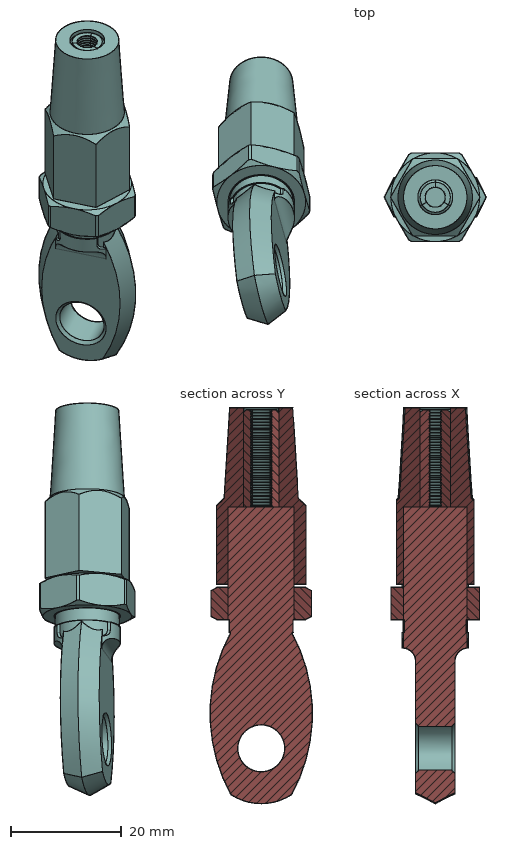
import cadquery as cq
import math


BLADE_WIDTH = 18.5
BLADE_HALF_WIDTH = BLADE_WIDTH / 2
BLADE_HALF_THICKNESS = 3.6
BLADE_BEVEL = 1.8
BLADE_SIDE_RADIUS = 30.4
BLADE_MID_Z = 16.3
BLADE_END_Z = 1.65
PIN_HOLE_Z = 10.0
PIN_HOLE_RADIUS = 4.2
PIN_HOLE_CHAMFER = 0.6
COLLAR_RADIUS = 5.8
NECK_RADIUS = 5.6
STUD_RADIUS = 6.0
COLLAR_BOTTOM_Z = 30.95
STUD_TOP_Z = 53.6

PAD_BOTTOM_Z = 28.1
PAD_FILLET = 2.35
PAD_HALF_WIDTH = 3.5
PAD_CORNER_RADIUS = 1.35

NUT_ACROSS_FLATS = 16.0
NUT_BOTTOM_Z = 33.2
NUT_TOP_Z = 39.1
NUT_CORNER_RADIUS = 9.1
NUT_CHAMFER_ANGLE = 30.0

HOUSING_BOTTOM_Z = 39.6
HOUSING_ACROSS_FLATS = 14.0
NOSE_BOTTOM_Z = 55.2
NOSE_BOTTOM_RADIUS = 6.7
NOSE_TOP_RADIUS = 5.7
TOP_Z = 71.5
JAW_BORE_RADIUS = 3.15

JAW_COUNT = 3
JAW_TOP_Z = 71.15
JAW_TOOTH_RADIUS = 1.8
TOOTH_DEPTH = 0.15
TOOTH_COUNT = 34
FIRST_SPLIT_ANGLE = 90.0
JAW_CHAMFER = 0.4
JAW_LENGTH = JAW_TOP_Z - STUD_TOP_Z


def cylinder(radius, bottom_z, top_z):
    """Upright cylinder on the common axis."""
    return cq.Workplane("XY", origin=(0, 0, bottom_z)).circle(radius).extrude(top_z - bottom_z)


def hexagon(across_flats, bottom_z, top_z):
    """Upright hexagonal prism with two corners on the X axis."""
    corner_circle = across_flats / math.cos(math.radians(30))
    base = cq.Workplane("XY", origin=(0, 0, bottom_z)).polygon(6, corner_circle)
    return base.extrude(top_z - bottom_z)


def revolved(points):
    """Solid of revolution about Z from (radius, z) points."""
    return cq.Workplane("XZ").polyline(points).close().revolve(360, (0, 0), (0, 1))


def blade_half_width(z):
    """Half width of the blade on its mid-plane, at a given height along its round sides."""
    rise = z - BLADE_MID_Z
    return BLADE_HALF_WIDTH - BLADE_SIDE_RADIUS + math.sqrt(BLADE_SIDE_RADIUS**2 - rise**2)


def blade_half(side):
    """Blade half on one side of the Y = 0 plane, narrowing from the mid-plane to its flat face."""
    top_z = NUT_BOTTOM_Z
    top_half_width = blade_half_width(top_z)
    end_half_width = blade_half_width(BLADE_END_Z)
    taper = math.degrees(math.atan(BLADE_BEVEL / BLADE_HALF_THICKNESS))
    return (
        cq.Workplane("XZ")
        .moveTo(-top_half_width, top_z)
        .threePointArc((-BLADE_HALF_WIDTH, BLADE_MID_Z), (-end_half_width, BLADE_END_Z))
        .threePointArc((0, 0), (end_half_width, BLADE_END_Z))
        .threePointArc((BLADE_HALF_WIDTH, BLADE_MID_Z), (top_half_width, top_z))
        .close()
        .extrude(side * BLADE_HALF_THICKNESS, taper=taper)
    )


def pin_hole():
    """Tool for the pin hole, widened by a chamfer at both faces of the blade."""
    half = BLADE_HALF_THICKNESS
    rim = PIN_HOLE_RADIUS + PIN_HOLE_CHAMFER
    straight = half - PIN_HOLE_CHAMFER
    return (
        cq.Workplane("XY")
        .polyline([
            (0, -half),
            (rim, -half),
            (PIN_HOLE_RADIUS, -straight),
            (PIN_HOLE_RADIUS, straight),
            (rim, half),
            (0, half),
        ])
        .close()
        .revolve(360, (0, 0), (0, 1))
        .translate((0, 0, PIN_HOLE_Z))
    )


def pad_run_out():
    """Extent in Y and Z of the neck and pads, which run out onto the blade faces in concave fillets."""
    fillet_bottom_z = PAD_BOTTOM_Z - PAD_FILLET
    fillet_end = BLADE_HALF_THICKNESS + PAD_FILLET
    mid_drop = PAD_FILLET * math.sin(math.radians(45))
    fillet_mid = (fillet_end - mid_drop, fillet_bottom_z + mid_drop)
    return (
        cq.Workplane("YZ")
        .moveTo(-BLADE_HALF_THICKNESS, fillet_bottom_z)
        .threePointArc((-fillet_mid[0], fillet_mid[1]), (-fillet_end, PAD_BOTTOM_Z))
        .lineTo(-STUD_RADIUS, PAD_BOTTOM_Z)
        .lineTo(-STUD_RADIUS, COLLAR_BOTTOM_Z)
        .lineTo(STUD_RADIUS, COLLAR_BOTTOM_Z)
        .lineTo(STUD_RADIUS, PAD_BOTTOM_Z)
        .lineTo(fillet_end, PAD_BOTTOM_Z)
        .threePointArc(fillet_mid, (BLADE_HALF_THICKNESS, fillet_bottom_z))
        .close()
        .extrude(STUD_RADIUS, both=True)
    )


def pad_outline():
    """Extent of the pads in X and Z: narrow beside the neck, flaring to full width in rounded corners."""
    bottom_z = PAD_BOTTOM_Z - PAD_FILLET
    corner_top_z = PAD_BOTTOM_Z + PAD_CORNER_RADIUS
    corner_end = PAD_HALF_WIDTH + PAD_CORNER_RADIUS
    corner_drop = PAD_CORNER_RADIUS * math.sin(math.radians(45))
    corner_mid = (corner_end - corner_drop, corner_top_z - corner_drop)
    return (
        cq.Workplane("XZ")
        .moveTo(-PAD_HALF_WIDTH, COLLAR_BOTTOM_Z)
        .lineTo(-PAD_HALF_WIDTH, corner_top_z)
        .threePointArc((-corner_mid[0], corner_mid[1]), (-corner_end, PAD_BOTTOM_Z))
        .lineTo(-corner_end, bottom_z)
        .lineTo(corner_end, bottom_z)
        .lineTo(corner_end, PAD_BOTTOM_Z)
        .threePointArc(corner_mid, (PAD_HALF_WIDTH, corner_top_z))
        .lineTo(PAD_HALF_WIDTH, COLLAR_BOTTOM_Z)
        .close()
        .extrude(STUD_RADIUS, both=True)
    )


def make_eye():
    """Blade with its neck and pads, carrying the collar and the stud."""
    fillet_bottom_z = PAD_BOTTOM_Z - PAD_FILLET
    blade = blade_half(1).union(blade_half(-1)).cut(pin_hole())
    neck = cylinder(NECK_RADIUS, fillet_bottom_z, COLLAR_BOTTOM_Z)
    pads = cylinder(STUD_RADIUS, fillet_bottom_z, COLLAR_BOTTOM_Z).intersect(pad_outline())
    root = neck.union(pads).intersect(pad_run_out())
    collar = cylinder(COLLAR_RADIUS, COLLAR_BOTTOM_Z, NUT_BOTTOM_Z)
    stud = cylinder(STUD_RADIUS, NUT_BOTTOM_Z, STUD_TOP_Z)
    return blade.union(root).union(collar).union(stud)


def make_lock_nut():
    """Hexagonal nut with chamfered ends and trimmed corners, bored to sit on the stud."""
    flat_radius = NUT_ACROSS_FLATS / 2
    drop = (NUT_CORNER_RADIUS - flat_radius) * math.tan(math.radians(NUT_CHAMFER_ANGLE))
    envelope = revolved([
        (0, NUT_BOTTOM_Z),
        (flat_radius, NUT_BOTTOM_Z),
        (NUT_CORNER_RADIUS, NUT_BOTTOM_Z + drop),
        (NUT_CORNER_RADIUS, NUT_TOP_Z - drop),
        (flat_radius, NUT_TOP_Z),
        (0, NUT_TOP_Z),
    ])
    blank = hexagon(NUT_ACROSS_FLATS, NUT_BOTTOM_Z, NUT_TOP_Z).intersect(envelope)
    return blank.cut(cylinder(STUD_RADIUS, NUT_BOTTOM_Z, NUT_TOP_Z))


def make_housing():
    """Hexagonal sleeve with a chamfered top, a tapered nose, a stud bore and a jaw bore."""
    corner_radius = HOUSING_ACROSS_FLATS / 2 / math.cos(math.radians(30))
    chamfer_drop = corner_radius - NOSE_BOTTOM_RADIUS
    hex_envelope = revolved([
        (0, HOUSING_BOTTOM_Z),
        (corner_radius, HOUSING_BOTTOM_Z),
        (corner_radius, NOSE_BOTTOM_Z - chamfer_drop),
        (NOSE_BOTTOM_RADIUS, NOSE_BOTTOM_Z),
        (0, NOSE_BOTTOM_Z),
    ])
    sleeve = hexagon(HOUSING_ACROSS_FLATS, HOUSING_BOTTOM_Z, NOSE_BOTTOM_Z).intersect(hex_envelope)
    nose = revolved([
        (0, NOSE_BOTTOM_Z),
        (NOSE_BOTTOM_RADIUS, NOSE_BOTTOM_Z),
        (NOSE_TOP_RADIUS, TOP_Z),
        (0, TOP_Z),
    ])
    stud_bore = cylinder(STUD_RADIUS, HOUSING_BOTTOM_Z, STUD_TOP_Z)
    jaw_bore = cylinder(JAW_BORE_RADIUS, STUD_TOP_Z, TOP_Z)
    return sleeve.union(nose).cut(stud_bore).cut(jaw_bore)


def make_jaw(start_angle):
    """One sector of the toothed sleeve that grips the cable, starting at the given angle about Z."""
    root_radius = JAW_TOOTH_RADIUS + TOOTH_DEPTH
    pitch = JAW_LENGTH / TOOTH_COUNT
    teeth = []
    for tooth in range(TOOTH_COUNT):
        crest_z = STUD_TOP_Z + tooth * pitch
        teeth.append((JAW_TOOTH_RADIUS, crest_z))
        teeth.append((root_radius, crest_z + pitch / 2))
    profile = [
        (JAW_BORE_RADIUS, STUD_TOP_Z),
        *teeth,
        (JAW_TOOTH_RADIUS, JAW_TOP_Z),
        (JAW_BORE_RADIUS - JAW_CHAMFER, JAW_TOP_Z),
        (JAW_BORE_RADIUS, JAW_TOP_Z - JAW_CHAMFER),
    ]
    sector = cq.Workplane("XZ").polyline(profile).close().revolve(360 / JAW_COUNT, (0, 0), (0, 1))
    return sector.rotate((0, 0, 0), (0, 0, 1), start_angle)


eye = make_eye()
lock_nut = make_lock_nut()
housing = make_housing()
jaws = [make_jaw(FIRST_SPLIT_ANGLE + number * 360 / JAW_COUNT) for number in range(JAW_COUNT)]

result = cq.Compound.makeCompound([
    eye.val(),
    lock_nut.val(),
    housing.val(),
    *[jaw.val() for jaw in jaws],
])